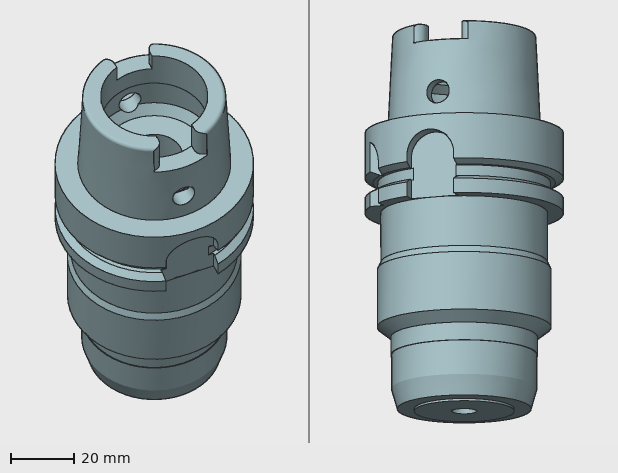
import cadquery as cq
import math

LENGTH = 122.0

SHANK_LENGTH = 32.0
SHANK_TOP_RADIUS = 22.7
SHANK_BASE_RADIUS = 24.3
RIM_FILLET = 1.2

FLANGE_RADIUS = 31.5
FLANGE_THICKNESS = 25.9
GROOVE_CENTER_DEPTH = 17.9
GROOVE_MOUTH_WIDTH = 6.6
GROOVE_FLOOR_WIDTH = 3.8
GROOVE_FLANK_RADIUS = 28.9
GROOVE_FLOOR_RADIUS = 27.5

NECK_RADIUS = 26.5
NECK_BOTTOM_Z = 48.1
COLLAR_RADIUS = 27.6
COLLAR_TOP_Z = 45.9
COLLAR_BOTTOM_Z = 27.2
STEP_RADIUS = 23.3
STEP_TOP_Z = 23.9
STEP_BOTTOM_Z = 18.2
NOSE_RADIUS = 23.0
NOSE_TAPER_Z = 7.1
NOSE_TIP_RADIUS = 21.2
PAD_RADIUS = 15.9
PAD_HEIGHT = 0.7

MOUTH_RADIUS = 17.0
MOUTH_DEPTH = 12.9
CHAMBER_RADIUS = 19.8
CHAMBER_TOP_DEPTH = 15.4
CHAMBER_BOTTOM_DEPTH = 25.5
CAVITY_DEPTH = 28.5
TUBE_BORE_RADIUS = 9.0
TUBE_BORE_DEPTH = 12.2
THROUGH_RADIUS = 4.0

KEY_HALF_WIDTH = 6.1
KEY_CORNER_RADIUS = 3.0
KEY_SHOULDER_X = 20.7
KEY_DEPTH_LEFT = 6.1
KEY_DEPTH_RIGHT = 10.1

CROSS_HOLE_RADIUS = 3.8
CROSS_HOLE_HEIGHT = 8.9

SLOT_ARCH_DEPTH = 12.8
SLOT_FLOOR_X = NECK_RADIUS
LEFT_SLOT_RADIUS = 7.9
RIGHT_SLOT_RADIUS = 9.0
NOTCH_RADIUS = 9.0
NOTCH_WALL_Y = 19.9
NOTCH_FLOOR_X = 20.0

FACE_Z = LENGTH - SHANK_LENGTH
FLANGE_BOTTOM_Z = FACE_Z - FLANGE_THICKNESS
MARGIN = 6.1


def make_body():
    """Turned outside of the holder, with the groove and the rounded rim."""
    groove_z = FACE_Z - GROOVE_CENTER_DEPTH
    half_mouth = GROOVE_MOUTH_WIDTH / 2
    half_floor = GROOVE_FLOOR_WIDTH / 2
    outline = [
        (0, 0),
        (PAD_RADIUS, 0),
        (PAD_RADIUS, PAD_HEIGHT),
        (NOSE_TIP_RADIUS, PAD_HEIGHT),
        (NOSE_RADIUS, NOSE_TAPER_Z),
        (NOSE_RADIUS, STEP_BOTTOM_Z),
        (STEP_RADIUS, STEP_BOTTOM_Z),
        (STEP_RADIUS, STEP_TOP_Z),
        (COLLAR_RADIUS, COLLAR_BOTTOM_Z),
        (COLLAR_RADIUS, COLLAR_TOP_Z),
        (NECK_RADIUS, NECK_BOTTOM_Z),
        (NECK_RADIUS, FLANGE_BOTTOM_Z),
        (FLANGE_RADIUS, FLANGE_BOTTOM_Z),
        (FLANGE_RADIUS, groove_z - half_mouth),
        (GROOVE_FLANK_RADIUS, groove_z - half_floor),
        (GROOVE_FLOOR_RADIUS, groove_z - half_floor),
        (GROOVE_FLOOR_RADIUS, groove_z + half_floor),
        (GROOVE_FLANK_RADIUS, groove_z + half_floor),
        (FLANGE_RADIUS, groove_z + half_mouth),
        (FLANGE_RADIUS, FACE_Z),
        (SHANK_BASE_RADIUS, FACE_Z),
        (SHANK_TOP_RADIUS, LENGTH),
        (0, LENGTH),
    ]
    body = cq.Workplane("XZ").polyline(outline).close().revolve(360, (0, 0), (0, 1))
    return body.faces(">Z").edges().fillet(RIM_FILLET)


def make_cavity():
    """Stepped bore that runs down the axis from the top rim to the lower end."""
    floor_z = LENGTH - CAVITY_DEPTH
    outline = [
        (0, LENGTH),
        (MOUTH_RADIUS, LENGTH),
        (MOUTH_RADIUS, LENGTH - MOUTH_DEPTH),
        (CHAMBER_RADIUS, LENGTH - CHAMBER_TOP_DEPTH),
        (CHAMBER_RADIUS, LENGTH - CHAMBER_BOTTOM_DEPTH),
        (MOUTH_RADIUS, floor_z),
        (TUBE_BORE_RADIUS, floor_z),
        (TUBE_BORE_RADIUS, floor_z - TUBE_BORE_DEPTH),
        (THROUGH_RADIUS, floor_z - TUBE_BORE_DEPTH),
        (THROUGH_RADIUS, 0),
        (0, 0),
    ]
    return cq.Workplane("XZ").polyline(outline).close().revolve(360, (0, 0), (0, 1))


def make_key_slot(side, depth):
    """Rim slot on the side = -1 or +1 end of X that flares outwards around two rounded corners."""
    arc_start_x = KEY_SHOULDER_X - KEY_CORNER_RADIUS
    arc_end_y = KEY_HALF_WIDTH + KEY_CORNER_RADIUS
    arc_mid_x = arc_start_x + KEY_CORNER_RADIUS * math.sin(math.pi / 4)
    arc_mid_y = arc_end_y - KEY_CORNER_RADIUS * math.cos(math.pi / 4)
    outer_x = SHANK_BASE_RADIUS + MARGIN
    return (
        cq.Workplane("XY", origin=(0, 0, LENGTH - depth))
        .moveTo(0, -KEY_HALF_WIDTH)
        .lineTo(side * arc_start_x, -KEY_HALF_WIDTH)
        .threePointArc((side * arc_mid_x, -arc_mid_y), (side * KEY_SHOULDER_X, -arc_end_y))
        .lineTo(side * outer_x, -arc_end_y)
        .lineTo(side * outer_x, arc_end_y)
        .lineTo(side * KEY_SHOULDER_X, arc_end_y)
        .threePointArc((side * arc_mid_x, arc_mid_y), (side * arc_start_x, KEY_HALF_WIDTH))
        .lineTo(0, KEY_HALF_WIDTH)
        .close()
        .extrude(depth)
    )


def make_cross_hole():
    """Round hole along X through the shank wall on both sides."""
    return (
        cq.Workplane("YZ", origin=(0, 0, FACE_Z + CROSS_HOLE_HEIGHT))
        .circle(CROSS_HOLE_RADIUS)
        .extrude(SHANK_BASE_RADIUS + MARGIN, both=True)
    )


def make_flange_slot(side, floor_x, center_y, radius):
    """Round-topped slot, open at the flange bottom, with a flat floor square to X."""
    arch_z = FACE_Z - SLOT_ARCH_DEPTH
    return (
        cq.Workplane("YZ", origin=(side * floor_x, 0, 0))
        .moveTo(center_y - radius, FLANGE_BOTTOM_Z)
        .lineTo(center_y - radius, arch_z)
        .threePointArc((center_y, arch_z + radius), (center_y + radius, arch_z))
        .lineTo(center_y + radius, FLANGE_BOTTOM_Z)
        .close()
        .extrude(side * (FLANGE_RADIUS + MARGIN - floor_x))
    )


result = (
    make_body()
    .cut(make_cavity())
    .cut(make_key_slot(-1, KEY_DEPTH_LEFT))
    .cut(make_key_slot(1, KEY_DEPTH_RIGHT))
    .cut(make_cross_hole())
    .cut(make_flange_slot(-1, SLOT_FLOOR_X, 0, LEFT_SLOT_RADIUS))
    .cut(make_flange_slot(1, SLOT_FLOOR_X, 0, RIGHT_SLOT_RADIUS))
    .cut(make_flange_slot(-1, NOTCH_FLOOR_X, NOTCH_WALL_Y + NOTCH_RADIUS, NOTCH_RADIUS))
)